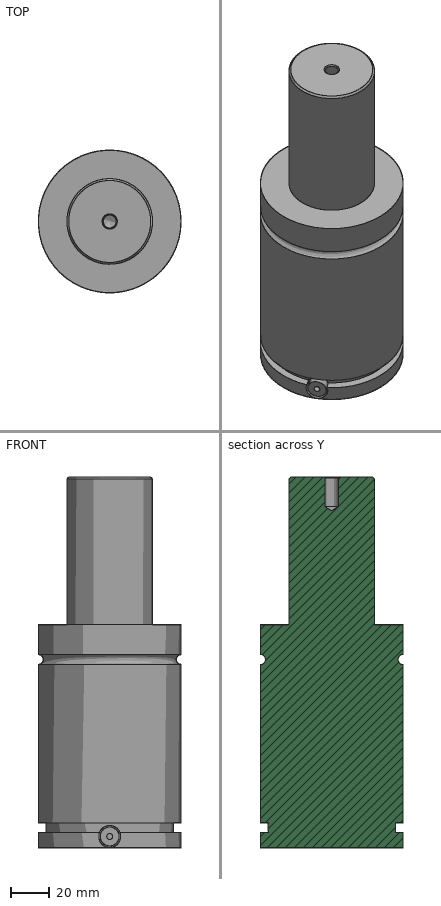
import cadquery as cq
import math

total_height = 195.0
body_radius = 75.0 / 2
body_height = 117.4
rod_radius = 45.0 / 2
rod_chamfer = 1.0

upper_groove_radius = 2.5
upper_groove_height = 99.0

lower_groove_radius = 67.0 / 2
flange_height = 8.2
lower_groove_top = 13.3

rod_hole_diameter = 6.8
rod_hole_mouth_diameter = 8.0
rod_hole_depth = 15.6
drill_point_angle = 118.0

valve_bore_diameter = 11.5
valve_plug_diameter = 10.0
valve_hole_diameter = 3.1
valve_hole_depth = 3.9
valve_height = 6.0
valve_face_offset = 36.9
valve_bore_floor_offset = 32.2


def make_cylinder_and_rod():
    """Revolved body with both grooves, and the chamfered rod above it."""
    profile = (
        cq.Workplane("XZ")
        .lineTo(body_radius, 0)
        .lineTo(body_radius, flange_height)
        .lineTo(lower_groove_radius, flange_height)
        .lineTo(lower_groove_radius, lower_groove_top)
        .lineTo(body_radius, lower_groove_top)
        .lineTo(body_radius, upper_groove_height - upper_groove_radius)
        .threePointArc(
            (body_radius - upper_groove_radius, upper_groove_height),
            (body_radius, upper_groove_height + upper_groove_radius),
        )
        .lineTo(body_radius, body_height)
        .lineTo(rod_radius, body_height)
        .lineTo(rod_radius, total_height - rod_chamfer)
        .lineTo(rod_radius - rod_chamfer, total_height)
        .lineTo(0, total_height)
        .close()
    )
    return profile.revolve(360, (0, 0), (0, 1))


def cut_rod_hole(part):
    """Blind hole with a conical bottom and a 45 degree countersunk mouth."""
    drill = (
        cq.Workplane("XY", origin=(0, 0, total_height - rod_hole_depth))
        .circle(rod_hole_diameter / 2)
        .extrude(rod_hole_depth)
    )
    tip = cq.Solid.makeCone(
        rod_hole_diameter / 2,
        0,
        rod_hole_diameter / 2 / math.tan(math.radians(drill_point_angle / 2)),
        pnt=cq.Vector(0, 0, total_height - rod_hole_depth),
        dir=cq.Vector(0, 0, -1),
    )
    mouth = cq.Solid.makeCone(
        rod_hole_mouth_diameter / 2,
        rod_hole_diameter / 2,
        (rod_hole_mouth_diameter - rod_hole_diameter) / 2,
        pnt=cq.Vector(0, 0, total_height),
        dir=cq.Vector(0, 0, -1),
    )
    return part.cut(drill).cut(cq.Workplane(tip)).cut(cq.Workplane(mouth))


def valve_disc(diameter, outer_offset, inner_offset):
    """Disc on the valve axis between two distances from the part axis."""
    return (
        cq.Workplane("XZ", origin=(0, -inner_offset, valve_height))
        .circle(diameter / 2)
        .extrude(outer_offset - inner_offset)
    )


def add_valve(part):
    """Valve bore across the flange and lower groove, filled by a plug with a central hole."""
    part = part.cut(valve_disc(valve_bore_diameter, body_radius, valve_bore_floor_offset))
    part = part.union(valve_disc(valve_plug_diameter, valve_face_offset, valve_bore_floor_offset))
    return part.cut(valve_disc(valve_hole_diameter, valve_face_offset, valve_face_offset - valve_hole_depth))


result = add_valve(cut_rod_hole(make_cylinder_and_rod()))